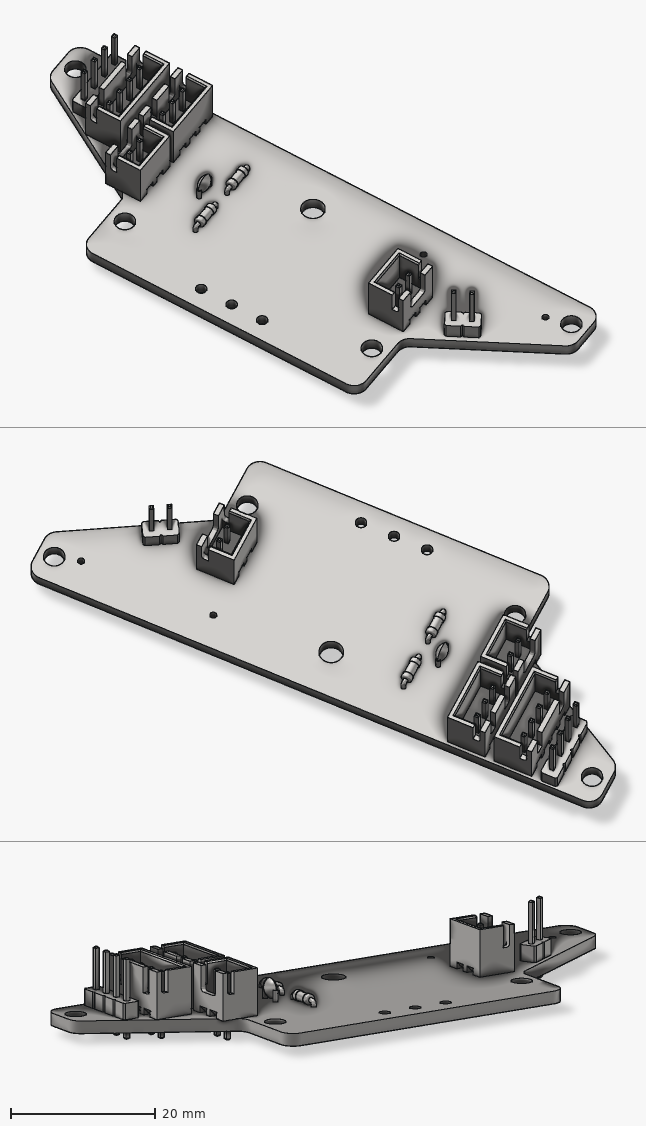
import cadquery as cq
import math

BOARD_LENGTH = 87.25
BOARD_DEPTH = 30.0
BOARD_THICKNESS = 1.8
BOARD_TAIL_LENGTH = 46.1
WING_CORNER_Y = 7.9
WING_ANGLE = 30.0
CORNER_RADIUS = 2.0

MOUNT_DIAMETER = 3.0
WING_MOUNT = (41.2, 11.1)
TAIL_MOUNT = (20.5, -7.8)
CENTRE_HOLE_DIAMETER = 3.4
CENTRE_HOLE_Y = 8.5
WIRE_HOLE_DIAMETER = 1.6
WIRE_HOLE_PITCH = 5.1
WIRE_HOLE_Y = -11.95
WIRE_HOLE_COUNT = 3
SMALL_HOLE_DIAMETER = 1.0
SMALL_HOLE_XS = (17.3, 37.5)
SMALL_HOLE_Y = 10.1

PIN_SIZE = 0.64
PIN_TAPER = 0.2

HEADER_PITCH = 2.5
HEADER_HEIGHT = 2.35
HEADER_CORNER = 0.25
HEADER_PIN_TOP = 8.5
HEADER_PIN_BOTTOM = -3.1
HEADERS = (
    (4, (-36.2, 9.6), 90.0),
    (2, (29.2, 1.9), 30.0),
)

FOUR_PIN_SPAN = 7.5
SHROUD_PITCH = FOUR_PIN_SPAN / 3
SHROUD_END = 2.4
SHROUD_WIDTH = 5.8
SHROUD_HEIGHT = 6.8
SHROUD_FRONT = 2.35
SHROUD_WALL = 0.8
CAVITY_FLOOR = 1.75
MOUTH_CHAMFER = 0.22
SLOT_FLOOR = 3.1
SLOT_WIDTH = 1.5
SLOT_OVERHANG = 0.5
SLOT_FILLET = 0.5
END_SLOT_WIDTH = 1.05
END_SLOT_FLOOR = 3.7
NOTCH_WIDTH = 1.6
NOTCH_HEIGHT = 1.0
SHROUD_PIN_TOP = 6.2
SHROUD_PIN_BOTTOM = -3.5
CONNECTORS = (
    (4, (-31.2, 8.4), 0.0),
    (3, (-24.1, 9.6), 0.0),
    (2, (-24.1, 0.1), 0.0),
    (2, (20.15, 0.8), 180.0),
)

RESISTOR_LENGTH = 3.6
RESISTOR_DIAMETER = 1.6
RESISTOR_WAIST_DIAMETER = 1.4
RESISTOR_WAIST_LENGTH = 1.8
RESISTOR_FILLET = 0.3
RESISTOR_AXIS_Z = 0.8
RESISTOR_LEAD_DIAMETER = 0.7
RESISTOR_LEAD_PITCH = 5.1
RESISTOR_LEAD_BEND = 0.4
RESISTOR_LEAD_BOTTOM = -3.2
RESISTOR_CENTRES = ((-11.4, 6.7), (-11.4, -1.2))

CAPACITOR_CENTRE = (-14.3, 2.8)
CAPACITOR_DIAMETER = 3.0
CAPACITOR_THICKNESS = 1.6
CAPACITOR_AXIS_Z = 1.7
CAPACITOR_LEAD_DIAMETER = 0.7
CAPACITOR_LEAD_PITCH = 2.5
CAPACITOR_LEAD_BOTTOM = -2.1


def centred_row(count, pitch):
    """Positions of `count` items spaced evenly about zero."""
    return [(i - (count - 1) / 2) * pitch for i in range(count)]


def box(x_range, y_range, z_range):
    """Box between the given limits."""
    lengths = [high - low for low, high in (x_range, y_range, z_range)]
    corner = (x_range[0], y_range[0], z_range[0])
    return cq.Workplane("XY").box(*lengths, centered=False).translate(corner)


def place(part, centre, turn=0.0):
    """Turn a part about Z, then move it to its place on the board."""
    return part.rotate((0, 0, 0), (0, 0, 1), turn).translate((*centre, 0))


def make_pin(bottom, top):
    """Square pin on the Z axis with both ends tapered."""
    pin = cq.Workplane("XY").workplane(offset=bottom).rect(PIN_SIZE, PIN_SIZE).extrude(top - bottom)
    return pin.faces("<Z or >Z").chamfer(PIN_TAPER)


def make_header(count):
    """Strip of corner-cut segments with one long pin in each, laid along X."""
    pin = make_pin(HEADER_PIN_BOTTOM, HEADER_PIN_TOP)
    segment = (
        cq.Workplane("XY")
        .rect(HEADER_PITCH, HEADER_PITCH)
        .extrude(HEADER_HEIGHT)
        .edges("|Z")
        .chamfer(HEADER_CORNER)
    )
    header = cq.Workplane("XY")
    for x in centred_row(count, HEADER_PITCH):
        header = header.union(segment.translate((x, 0, 0))).union(pin.translate((x, 0, 0)))
    return header


def make_shroud(length):
    """Open-topped box with a bevelled mouth on the three walls that have no wide slots."""
    x_front = -SHROUD_FRONT
    x_back = x_front + SHROUD_WIDTH
    cavity_front = x_front + SHROUD_WALL
    cavity_back = x_back - SHROUD_WALL
    cavity_half = length / 2 - SHROUD_WALL
    shroud = box((x_front, x_back), (-length / 2, length / 2), (0, SHROUD_HEIGHT))
    cavity = box(
        (cavity_front, cavity_back), (-cavity_half, cavity_half), (CAVITY_FLOOR, SHROUD_HEIGHT)
    )
    shroud = shroud.cut(cavity)
    mouth_back = cavity_back + MOUTH_CHAMFER
    mouth_half = cavity_half + MOUTH_CHAMFER
    bevel = (
        cq.Workplane("XY")
        .workplane(offset=SHROUD_HEIGHT - MOUTH_CHAMFER)
        .moveTo((cavity_front + cavity_back) / 2, 0)
        .rect(cavity_back - cavity_front, 2 * cavity_half)
        .workplane(offset=MOUTH_CHAMFER)
        .moveTo((cavity_front + mouth_back) / 2, 0)
        .rect(mouth_back - cavity_front, 2 * mouth_half)
        .loft(ruled=True)
    )
    return shroud.cut(bevel)


def make_wall_slots(count):
    """Slots down the -X wall beside the outermost pins; with two pins they join into one."""
    outer_edge = SHROUD_PITCH * (count - 1) / 2 + SLOT_OVERHANG
    x_range = (-SHROUD_FRONT, -SHROUD_FRONT + SHROUD_WALL)
    z_range = (SLOT_FLOOR, SHROUD_HEIGHT)
    if count == 2:
        slot = box(x_range, (-outer_edge, outer_edge), z_range)
        return slot.edges("|X and <Z").fillet(SLOT_FILLET)
    low = box(x_range, (-outer_edge, -outer_edge + SLOT_WIDTH), z_range)
    low = low.edges("|X and <Z and <Y").fillet(SLOT_FILLET)
    return low.union(low.mirror("XZ"))


def make_end_slots(length):
    """Slots through both end walls, just behind the -X wall."""
    x_start = -SHROUD_FRONT + SHROUD_WALL
    slot = box(
        (x_start, x_start + END_SLOT_WIDTH),
        (-length / 2, length / 2),
        (END_SLOT_FLOOR, SHROUD_HEIGHT),
    )
    return slot.edges("|Y and <Z and <X").fillet(SLOT_FILLET)


def make_notch():
    """Sloped relief under both long walls at one pin."""
    x_front = -SHROUD_FRONT
    x_back = x_front + SHROUD_WIDTH
    return (
        cq.Workplane("XZ", origin=(0, NOTCH_WIDTH / 2, 0))
        .polyline([(x_front, 0), (x_front + NOTCH_HEIGHT, 0), (x_front, NOTCH_HEIGHT)])
        .close()
        .polyline([(x_back, 0), (x_back - NOTCH_HEIGHT, 0), (x_back, NOTCH_HEIGHT)])
        .close()
        .extrude(NOTCH_WIDTH)
    )


def make_connector(count):
    """Slotted shroud with a row of pins along Y."""
    length = SHROUD_PITCH * (count - 1) + 2 * SHROUD_END
    pin = make_pin(SHROUD_PIN_BOTTOM, SHROUD_PIN_TOP)
    notch = make_notch()
    connector = make_shroud(length)
    connector = connector.cut(make_wall_slots(count)).cut(make_end_slots(length))
    for y in centred_row(count, SHROUD_PITCH):
        connector = connector.cut(notch.translate((0, y, 0)))
        connector = connector.union(pin.translate((0, y, 0)))
    return connector


def make_resistor():
    """Dumb-bell body along Y on a lead bent down at both ends."""
    half = RESISTOR_LENGTH / 2
    waist_half = RESISTOR_WAIST_LENGTH / 2
    cap_length = half - waist_half
    axis = cq.Workplane("XZ", origin=(0, 0, RESISTOR_AXIS_Z))
    cap = (
        axis.workplane(offset=waist_half)
        .circle(RESISTOR_DIAMETER / 2)
        .extrude(cap_length)
        .faces("<Y")
        .edges()
        .fillet(RESISTOR_FILLET)
    )
    waist = (
        axis.workplane(offset=-waist_half)
        .circle(RESISTOR_WAIST_DIAMETER / 2)
        .extrude(RESISTOR_WAIST_LENGTH)
    )

    lead_y = RESISTOR_LEAD_PITCH / 2
    bend = RESISTOR_LEAD_BEND
    bend_mid = bend * (1 - math.cos(math.radians(45)))
    path = (
        cq.Workplane("YZ")
        .moveTo(-lead_y, RESISTOR_LEAD_BOTTOM)
        .lineTo(-lead_y, RESISTOR_AXIS_Z - bend)
        .threePointArc(
            (-lead_y + bend_mid, RESISTOR_AXIS_Z - bend_mid), (-lead_y + bend, RESISTOR_AXIS_Z)
        )
        .lineTo(0, RESISTOR_AXIS_Z)
    )
    lead = (
        cq.Workplane("XY", origin=(0, -lead_y, RESISTOR_LEAD_BOTTOM))
        .circle(RESISTOR_LEAD_DIAMETER / 2)
        .sweep(path)
    )
    end = cap.union(lead)
    return waist.union(end).union(end.mirror("XZ"))


def make_capacitor():
    """Lens-shaped disc facing X, standing on two straight leads."""
    radius = CAPACITOR_DIAMETER / 2
    half_thickness = CAPACITOR_THICKNESS / 2
    face_radius = (radius**2 + half_thickness**2) / CAPACITOR_THICKNESS
    half_angle = math.asin(radius / face_radius) / 2
    arc_x = face_radius * math.cos(half_angle) - (face_radius - half_thickness)
    arc_y = face_radius * math.sin(half_angle)
    disc = (
        cq.Workplane("XY", origin=(0, 0, CAPACITOR_AXIS_Z))
        .moveTo(-half_thickness, 0)
        .threePointArc((-arc_x, arc_y), (0, radius))
        .threePointArc((arc_x, arc_y), (half_thickness, 0))
        .close()
        .revolve(360, (0, 0, 0), (1, 0, 0))
    )
    lead = (
        cq.Workplane("XY", origin=(0, 0, CAPACITOR_LEAD_BOTTOM))
        .circle(CAPACITOR_LEAD_DIAMETER / 2)
        .extrude(CAPACITOR_AXIS_Z - CAPACITOR_LEAD_BOTTOM)
    )
    for y in centred_row(2, CAPACITOR_LEAD_PITCH):
        disc = disc.union(lead.translate((0, y, 0)))
    return disc


def make_board_blank():
    """Winged plate with rounded corners."""
    half = BOARD_LENGTH / 2
    tail = BOARD_TAIL_LENGTH / 2
    top = BOARD_DEPTH / 2
    armpit_y = WING_CORNER_Y - (half - tail) * math.tan(math.radians(WING_ANGLE))
    right_side = [(tail, -top), (tail, armpit_y), (half, WING_CORNER_Y), (half, top)]
    left_side = [(-x, y) for x, y in reversed(right_side)]
    return (
        cq.Workplane("XY")
        .workplane(offset=-BOARD_THICKNESS)
        .polyline(right_side + left_side)
        .close()
        .extrude(BOARD_THICKNESS)
        .edges("|Z")
        .fillet(CORNER_RADIUS)
    )


def make_board(components):
    """Plate with its open holes and a matching hole for every pin and lead."""
    mounts = [(side * x, y) for x, y in (WING_MOUNT, TAIL_MOUNT) for side in (-1, 1)]
    wire_holes = [(x, WIRE_HOLE_Y) for x in centred_row(WIRE_HOLE_COUNT, WIRE_HOLE_PITCH)]
    small_holes = [(x, SMALL_HOLE_Y) for x in SMALL_HOLE_XS]
    hole_groups = (
        (MOUNT_DIAMETER, mounts),
        (CENTRE_HOLE_DIAMETER, [(0, CENTRE_HOLE_Y)]),
        (WIRE_HOLE_DIAMETER, wire_holes),
        (SMALL_HOLE_DIAMETER, small_holes),
    )
    board = make_board_blank()
    for diameter, points in hole_groups:
        board = board.cut(
            cq.Workplane("XY").pushPoints(points).circle(diameter / 2).extrude(-BOARD_THICKNESS)
        )
    for component in components:
        board = board.cut(component)
    return board


headers = [place(make_header(count), centre, turn) for count, centre, turn in HEADERS]
connectors = [place(make_connector(count), centre, turn) for count, centre, turn in CONNECTORS]
resistors = [place(make_resistor(), centre) for centre in RESISTOR_CENTRES]
capacitor = place(make_capacitor(), CAPACITOR_CENTRE)

components = [*headers, *connectors, *resistors, capacitor]
board = make_board(components)

result = cq.Compound.makeCompound([board.val(), *[component.val() for component in components]])